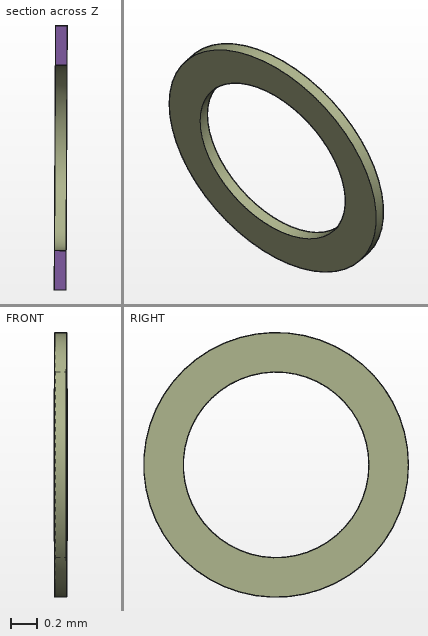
import cadquery as cq
import math

outer_diameter = 2.0
inner_diameter = 1.4
overall_width = 0.1
lean = 0.01

thickness = overall_width - lean
lean_angle = math.degrees(math.asin(lean / outer_diameter))

ring = (
    cq.Workplane("YZ")
    .circle(outer_diameter / 2)
    .circle(inner_diameter / 2)
    .extrude(thickness)
)

result = ring.rotate((0, 0, 0), (0, 0, 1), -lean_angle)